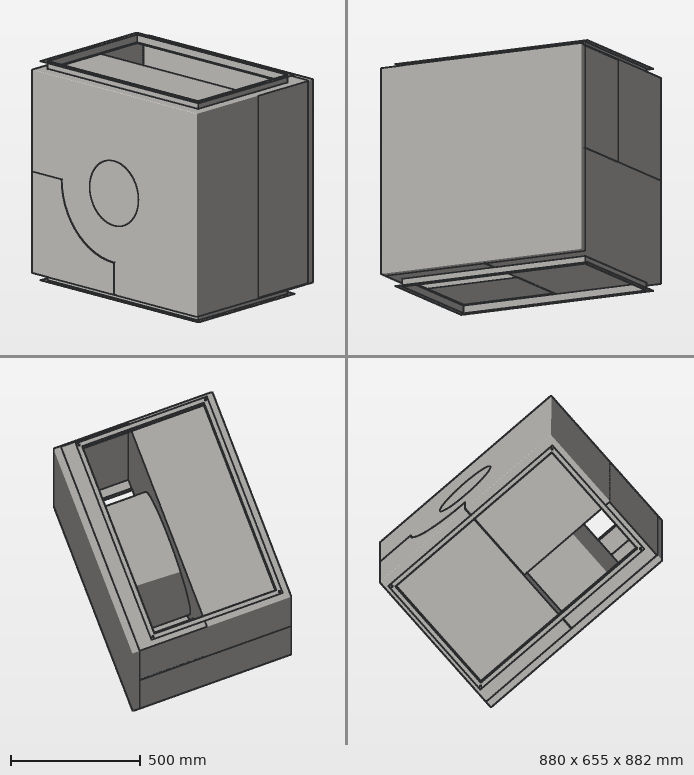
import cadquery as cq

CASE_WIDTH = 880.0
CASE_HEIGHT = 820.0
CASE_DEPTH = 655.0
BACK_PANEL_THICKNESS = 30.0
EDGE_RADIUS = 5.0
WALL = 4.0

FRONT_Y = -CASE_DEPTH / 2
BACK_Y = CASE_DEPTH / 2
PANEL_Y = BACK_Y - BACK_PANEL_THICKNESS
HALF_WIDTH = CASE_WIDTH / 2
HALF_HEIGHT = CASE_HEIGHT / 2

CHAMBER_FRONT_Y = 20.0
HOUSING_ARC_RADIUS = 278.0
QUADRANT_GAP = 2.0

COLLAR_WIDTH = 800.0
COLLAR_DEPTH = 500.0
COLLAR_WALL = 1.0
COLLAR_CENTRE_Y = -27.5
COLLAR_HEIGHT = 31.0
FLANGE_THICKNESS = 1.0
FLANGE_WIDTH = 840.0
FLANGE_DEPTH = 540.0
FLANGE_HOLE_DIAMETER = 6.0
FLANGE_HOLE_INSET = 10.0

WHEEL_RADIUS = 252.0
MOTOR_RADIUS = 130.0


def box_between(x_range, y_range, z_range):
    """Box spanning the given (low, high) ranges along X, Y and Z."""
    size = [high - low for low, high in (x_range, y_range, z_range)]
    low_corner = (x_range[0], y_range[0], z_range[0])
    return cq.Workplane("XY").box(*size, centered=False).translate(low_corner)


def cylinder_along_y(radius, y_low, y_high):
    """Cylinder on the fan axis, spanning y_low to y_high."""
    profile = cq.Workplane("XZ", origin=(0, y_high, 0)).circle(radius)
    return profile.extrude(y_high - y_low)


def make_case_block():
    """Solid outer block of the casing, with every edge rounded."""
    block = box_between(
        (-HALF_WIDTH, HALF_WIDTH), (FRONT_Y, BACK_Y), (-HALF_HEIGHT, HALF_HEIGHT)
    )
    return block.edges().fillet(EDGE_RADIUS)


def make_quadrant_zone(gap):
    """Lower-left quarter outside the housing arc and ahead of the back panel.

    The gap sets its arc and its vertical side back from the housing.
    """
    quarter = box_between((-HALF_WIDTH, -gap), (FRONT_Y, PANEL_Y), (-HALF_HEIGHT, 0))
    return quarter.cut(cylinder_along_y(HOUSING_ARC_RADIUS + gap, FRONT_Y, PANEL_Y))


def make_collar():
    """Top duct collar: a thin rectangular tube with an outward flange drilled at its corners."""
    tube_base = cq.Workplane("XY", origin=(0, COLLAR_CENTRE_Y, HALF_HEIGHT))
    tube = tube_base.rect(COLLAR_WIDTH + 2 * COLLAR_WALL, COLLAR_DEPTH + 2 * COLLAR_WALL)
    collar = tube.extrude(COLLAR_HEIGHT)
    flange_base = tube_base.workplane(offset=COLLAR_HEIGHT - FLANGE_THICKNESS)
    flange = flange_base.rect(FLANGE_WIDTH, FLANGE_DEPTH).extrude(FLANGE_THICKNESS)
    hole_span_x = FLANGE_WIDTH - 2 * FLANGE_HOLE_INSET
    hole_span_y = FLANGE_DEPTH - 2 * FLANGE_HOLE_INSET
    corners = flange_base.rect(hole_span_x, hole_span_y, forConstruction=True).vertices()
    holes = corners.circle(FLANGE_HOLE_DIAMETER / 2).extrude(FLANGE_THICKNESS)
    opening = tube_base.rect(COLLAR_WIDTH, COLLAR_DEPTH).extrude(COLLAR_HEIGHT)
    return collar.union(flange).cut(holes).cut(opening)


def make_opening():
    """Opening through the top wall, in line with the collar."""
    base = cq.Workplane("XY", origin=(0, COLLAR_CENTRE_Y, HALF_HEIGHT - WALL))
    return base.rect(COLLAR_WIDTH, COLLAR_DEPTH).extrude(WALL)


def mirrored_below(shape):
    """Copy of a top feature at the bottom of the casing."""
    return shape.mirror("XY")


case_block = make_case_block()
panel_zone = box_between(
    (-HALF_WIDTH, HALF_WIDTH), (PANEL_Y, BACK_Y), (-HALF_HEIGHT, HALF_HEIGHT)
)
quadrant_notch = make_quadrant_zone(gap=0)

back_panel = case_block.intersect(panel_zone)

quadrant_cover = case_block.intersect(make_quadrant_zone(gap=QUADRANT_GAP))

wheel = cylinder_along_y(WHEEL_RADIUS, CHAMBER_FRONT_Y, PANEL_Y)
motor = cylinder_along_y(MOTOR_RADIUS, FRONT_Y, CHAMBER_FRONT_Y)
fan = wheel.union(motor)

chamber = box_between(
    (-HALF_WIDTH + WALL, HALF_WIDTH - WALL),
    (CHAMBER_FRONT_Y, PANEL_Y),
    (-HALF_HEIGHT + WALL, HALF_HEIGHT - WALL),
)
opening = make_opening()
collar = make_collar()
housing = case_block.cut(panel_zone).cut(chamber).cut(quadrant_notch)
housing = housing.cut(motor).cut(opening).cut(mirrored_below(opening))
housing = housing.union(collar).union(mirrored_below(collar))

result = cq.Compound.makeCompound(
    [housing.val(), back_panel.val(), quadrant_cover.val(), fan.val()]
)